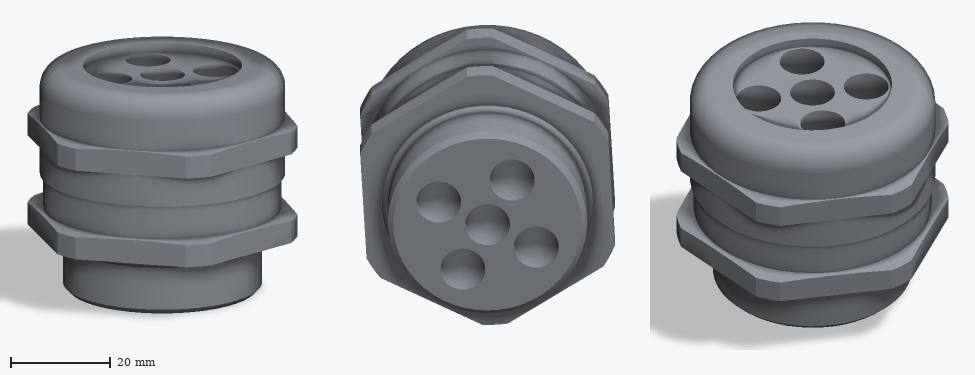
import cadquery as cq

collar_base = 10.0
lower_nut_base = 12.0
upper_body_base = 24.0
upper_nut_base = 30.5
nut_height = 5.0
total_height = 46.5

thread_diameter = 40.05
collar_diameter = 42.45
body_diameter = 47.95
cap_diameter = 49.4

nut_flats = 50.0
nut_corner_diameter = 55.0
nut_bevel_drop = 0.45
corner_rotation = 30

thread_chamfer = 1.1
cap_round = 4.4

recess_diameter = 32.0
recess_depth = 2.0
cable_hole_diameter = 9.0
cable_hole_offset = 11.0


def cylinder(diameter, bottom, top):
    return cq.Workplane("XY").workplane(offset=bottom).circle(diameter / 2).extrude(top - bottom)


def hex_nut(bottom, bevel_diameter):
    """Hexagon with corners along X, turned to a round envelope with a conical top."""
    hexagon = (
        cq.Workplane("XY").workplane(offset=bottom)
        .polygon(6, nut_flats, circumscribed=True).extrude(nut_height)
        .rotate((0, 0, 0), (0, 0, 1), corner_rotation)
    )
    bevel_width = (nut_corner_diameter - bevel_diameter) / 2
    envelope = cylinder(nut_corner_diameter, bottom, bottom + nut_height)
    envelope = envelope.faces(">Z").edges().chamfer(nut_bevel_drop, bevel_width)
    return hexagon.intersect(envelope)


thread = cylinder(thread_diameter, 0, collar_base).faces("<Z").chamfer(thread_chamfer)
collar_round = (lower_nut_base - collar_base) / 2
collar_inner_radius = collar_diameter / 2 - collar_round
collar = (
    cq.Workplane("XZ").moveTo(0, collar_base).lineTo(collar_inner_radius, collar_base)
    .threePointArc(
        (collar_diameter / 2, collar_base + collar_round),
        (collar_inner_radius, lower_nut_base),
    )
    .lineTo(0, lower_nut_base).close().revolve(360, (0, 0), (0, 1))
)

lower_body = cylinder(body_diameter, lower_nut_base, upper_body_base)
upper_body = cylinder(cap_diameter, upper_body_base, upper_nut_base)

cap = cylinder(cap_diameter, upper_nut_base, total_height).faces(">Z").edges().fillet(cap_round)

solid_gland = (
    thread.union(collar).union(lower_body).union(upper_body).union(cap)
    .union(hex_nut(lower_nut_base, body_diameter)).union(hex_nut(upper_nut_base, cap_diameter))
)

recess = cylinder(recess_diameter, total_height - recess_depth, total_height)
cable_hole_centers = [
    (0, 0),
    (cable_hole_offset, 0),
    (-cable_hole_offset, 0),
    (0, cable_hole_offset),
    (0, -cable_hole_offset),
]
cable_holes = (
    cq.Workplane("XY").pushPoints(cable_hole_centers)
    .circle(cable_hole_diameter / 2).extrude(total_height)
)

result = solid_gland.cut(recess).cut(cable_holes)